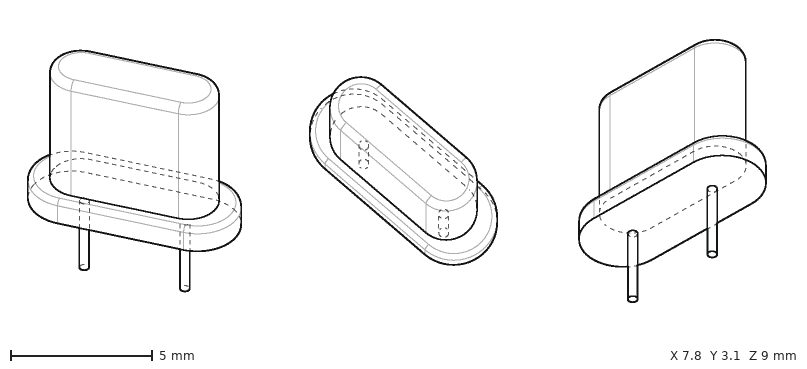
import cadquery as cq

flange_length = 7.8
flange_width = 3.1
flange_height = 1.0
flange_fillet = 0.2

can_length = 6.2
can_width = 2.2
can_fillet = 0.3

pin_diameter = 0.35
pin_length = 3.0
pin_spacing = 3.76

total_height = 9.0
can_height = total_height - pin_length - flange_height


def rounded_top_block(length, width, height, fillet, base_z):
    """Upright block with full-round ends along X and a filleted top rim."""
    return (
        cq.Workplane("XY")
        .workplane(offset=base_z)
        .slot2D(length, width)
        .extrude(height)
        .faces(">Z")
        .edges()
        .fillet(fillet)
    )


def make_housing():
    """Flange and can as one solid, with the flange underside at Z = 0."""
    flange = rounded_top_block(flange_length, flange_width, flange_height, flange_fillet, 0)
    can = rounded_top_block(can_length, can_width, can_height, can_fillet, flange_height)
    return flange.union(can)


def make_pin(x):
    """Round lead hanging from the flange underside."""
    return cq.Workplane("XY").center(x, 0).circle(pin_diameter / 2).extrude(-pin_length)


housing = make_housing()
pins = []
for side in (-1, 1):
    pins.append(make_pin(side * pin_spacing / 2).val())

result = cq.Compound.makeCompound([housing.val(), *pins])